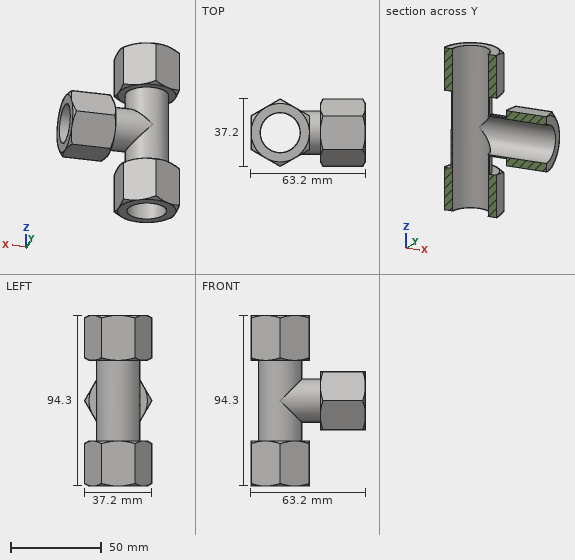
import cadquery as cq
import math

run_length = 94.3
branch_reach = 47.05
pipe_diameter = 24.0
bore_diameter = 22.0
nut_length = 24.9
nut_across_corners = 37.2
chamfer_angle = 30.0

half_run = run_length / 2
corner_radius = nut_across_corners / 2
flat_radius = corner_radius * math.cos(math.pi / 6)
chamfer_depth = (corner_radius - flat_radius) * math.tan(math.radians(chamfer_angle))


def rod(diameter, length):
    """Cylinder rising from the origin along Z."""
    return cq.Workplane("XY").circle(diameter / 2).extrude(length)


def nut(outer_face):
    """Hex nut on the Z axis with corners on Y, conically chamfered at both ends."""
    inner_face = outer_face - nut_length
    hexagon = (
        cq.Workplane("XY")
        .workplane(offset=inner_face)
        .transformed(rotate=(0, 0, 90))
        .polygon(6, nut_across_corners)
        .extrude(nut_length)
    )
    chamfer_envelope = (
        cq.Workplane("XZ")
        .moveTo(0, inner_face)
        .lineTo(flat_radius, inner_face)
        .lineTo(corner_radius, inner_face + chamfer_depth)
        .lineTo(corner_radius, outer_face - chamfer_depth)
        .lineTo(flat_radius, outer_face)
        .lineTo(0, outer_face)
        .close()
        .revolve(360, (0, 0, 0), (0, 1, 0))
    )
    return hexagon.intersect(chamfer_envelope)


def leg(reach):
    """Pipe from the tee centre up to the outer face of its nut."""
    return rod(pipe_diameter, reach).union(nut(reach))


def turn(solid, angle):
    """Swing a leg from +Z about the Y axis."""
    return solid.rotate((0, 0, 0), (0, 1, 0), angle)


legs = [(half_run, 0), (half_run, 180), (branch_reach, 90)]

result = cq.Workplane("XY")
for reach, angle in legs:
    result = result.union(turn(leg(reach), angle))
for reach, angle in legs:
    result = result.cut(turn(rod(bore_diameter, reach), angle))